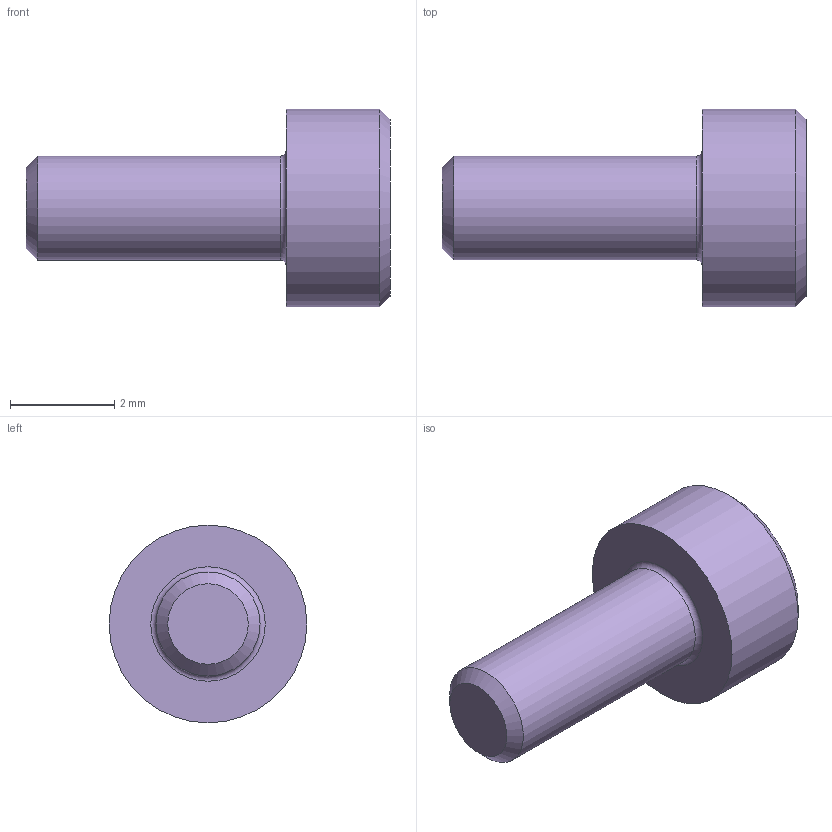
import cadquery as cq

SHANK_DIAMETER = 2.0
SHANK_LENGTH = 5.0
TIP_DIAMETER = 1.55
HEAD_DIAMETER = 3.8
HEAD_HEIGHT = 2.0
HEAD_CHAMFER = 0.2
NECK_FILLET = 0.1

TIP_CHAMFER = (SHANK_DIAMETER - TIP_DIAMETER) / 2


def make_shank():
    """Plain shank with a 45 degree chamfer at the tip."""
    shank = cq.Workplane("YZ").circle(SHANK_DIAMETER / 2).extrude(-SHANK_LENGTH)
    return shank.faces("<X").chamfer(TIP_CHAMFER)


def make_head():
    """Cylindrical head with its outer end edge chamfered."""
    head = cq.Workplane("YZ").circle(HEAD_DIAMETER / 2).extrude(HEAD_HEIGHT)
    return head.faces(">X").chamfer(HEAD_CHAMFER)


def round_neck(screw):
    """Fillet the inside corner where the shank meets the underside of the head."""
    neck_reach = SHANK_DIAMETER / 2 + NECK_FILLET
    neck_zone = cq.selectors.BoxSelector(
        (-NECK_FILLET, -neck_reach, -neck_reach),
        (NECK_FILLET, neck_reach, neck_reach),
        boundingbox=True,
    )
    return screw.edges(neck_zone).fillet(NECK_FILLET)


result = round_neck(make_shank().union(make_head()))